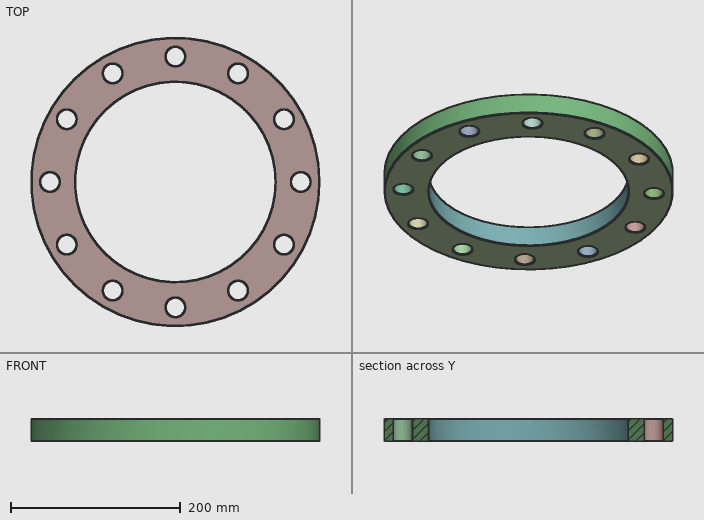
import cadquery as cq

outer_diameter = 340.0
bore_diameter = 235.0
thickness = 27.0
bolt_circle_diameter = 295.0
bolt_hole_diameter = 22.0
bolt_hole_count = 12
edge_chamfer = 1.0


def ring_blank():
    """Flat ring with its outer rim and bore chamfered on both faces."""
    ring = cq.Workplane("XY").circle(outer_diameter / 2).circle(bore_diameter / 2).extrude(thickness)
    return ring.faces("<Z or >Z").edges().chamfer(edge_chamfer)


def bolt_hole_cutter():
    """Through hole that flares into a chamfer at both faces."""
    hole_radius = bolt_hole_diameter / 2
    mouth_radius = hole_radius + edge_chamfer
    profile = [
        (0, 0),
        (mouth_radius, 0),
        (hole_radius, edge_chamfer),
        (hole_radius, thickness - edge_chamfer),
        (mouth_radius, thickness),
        (0, thickness),
    ]
    return cq.Workplane("XZ").polyline(profile).close().revolve(360, (0, 0), (0, 1))


result = ring_blank()
cutter = bolt_hole_cutter().translate((bolt_circle_diameter / 2, 0, 0))
for index in range(bolt_hole_count):
    angle = index * 360 / bolt_hole_count
    result = result.cut(cutter.rotate((0, 0, 0), (0, 0, 1), angle))